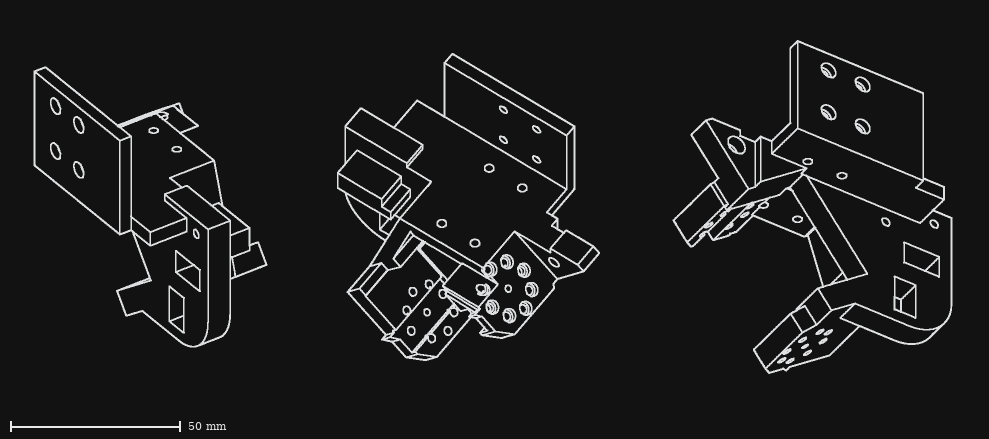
import cadquery as cq
import math

TILT = math.radians(37.5)
COS_TILT = math.cos(TILT)
SIN_TILT = math.sin(TILT)

deck_z = 32.6
shelf_thick = 4.85
shelf_bottom_z = deck_z - shelf_thick

plate_front_y = 17.0
plate_thick = 8.0
plate_back_y = plate_front_y + plate_thick
plate_top_z = 34.75
plate_right_x = 29.6
plate_bottom_z = -13.3
plate_corner_radius = 15.0
deck_left_x = -44.7
deck_right_x = 7.2
opening_width = 36.2
upper_arm_tip_u = -24.9
upper_arm_top_w = 60.8
lower_arm_tip_u = -22.0
arm_pad_back_y = 28.7
thick_left_x = -39.5
thick_front_y = 14.0

flange_left_x = -35.6
flange_width = 44.2
flange_height = 33.45
flange_thick = 4.0
shelf_right_x = 18.5

jaw_tip_u = -26.0
jaw_back_y = 52.0
lower_jaw_top_w = -1.1
lower_jaw_bottom_w = -7.9
lower_jaw_root_u = 5.85
upper_jaw_bottom_w = 37.3
upper_jaw_top_w = 45.2
tip_front_y = 27.8
tip_back_y = 47.8
front_bevel_u = 4.0
back_bevel_u = 5.1
upper_step_y = 50.8
upper_step_z = 28.5
upper_end_u = -12.8
upper_end_left_x = -36.7
upper_end_right_x = -25.9
spur_slope = 1.4
lower_spur_u = -11.7
lower_spur_y = 54.0
upper_spur_y = 53.4

ring_u = -15.35
ring_y = 39.3
ring_radius = 8.0
ring_count = 8
recess_start_u = -19.9
recess_end_u = -11.05
lower_recess_depth = 2.0
upper_web_thick = 3.6
upper_head_depth = 1.8

rear_back_y = 40.9
strut_top_x = -1.6
strut_width_x = 4.97
foot_wall_u = 2.9
foot_notch_w = 0.2
foot_turn = math.radians(1.6)
foot_height = 6.4
foot_ledge = 3.4
lip_height = 0.35

rear_block_back_y = 34.9
rear_block_left_x = 6.0
rear_block_step_x = 9.3
rear_block_right_x = 25.25
rear_block_tall_height = 8.0
rear_block_low_height = 4.0

window_upper = (13.0, 10.3, 12.3, 7.6)
window_lower = (9.6, -9.15, 7.4, 12.5)

screw_column_x = (-24.7, -12.7)
flange_hole_z = (38.9, 54.9)
deck_hole_y = (11.2, 35.2)
deck_hole_depth = 15.0
screw_dia = 2.7
flange_head_dia = 5.0
flange_head_depth = 2.5
pivot_at = (-46.0, 28.5)
pivot_dia = 3.6
pivot_head_dia = 6.0
pivot_head_depth = 4.0
blind_holes = ((23.5, 29.7), (6.5, 22.8))
blind_depth = 6.0
ring_head_dia = 4.1
upper_ring_dia = 2.6
lower_ring_dia = 2.5
ring_center_dia = 2.0


def tilted(u, w):
    """XZ position of a point given in the jaw frame."""
    return (u * COS_TILT - w * SIN_TILT, u * SIN_TILT + w * COS_TILT)


def at_height(w, z):
    """XZ point where the jaw plane w reaches height z."""
    return ((z * COS_TILT - w) / SIN_TILT, z)


def at_x(w, x):
    """XZ point where the jaw plane w reaches position x."""
    return (x, (w + x * SIN_TILT) / COS_TILT)


def prism(points, y_start, y_end):
    """XZ outline extruded along Y."""
    return cq.Workplane("XZ", origin=(0, y_start, 0)).polyline(points).close().extrude(y_start - y_end)


def block(x_start, x_end, y_start, y_end, z_start, z_end):
    size = (x_end - x_start, y_end - y_start, z_end - z_start)
    return cq.Workplane("XY", origin=(x_start, y_start, z_start)).box(*size, centered=False)


def rod_along_y(x, z, dia, y_start, y_end):
    return cq.Workplane("XZ", origin=(x, y_start, z)).circle(dia / 2).extrude(y_start - y_end)


def jaw_plane(w):
    """Workplane with local axes (u, Y) lying at height w across the opening."""
    x, z = tilted(0, w)
    return cq.Workplane(cq.Plane((x, 0, z), (COS_TILT, 0, SIN_TILT), (-SIN_TILT, 0, COS_TILT)))


def jaw_prism(points, w_start, w_end):
    """Outline in (u, Y) extruded across the opening."""
    return jaw_plane(w_start).polyline(points).close().extrude(w_end - w_start)


def jaw_rod(u, y, dia, w_start, w_end):
    return jaw_plane(w_start).center(u, y).circle(dia / 2).extrude(w_end - w_start)


def bevel_tip(jaw, w_start, w_end):
    """Cut both corners off the tip of a jaw."""
    front = [(jaw_tip_u, tip_front_y), (jaw_tip_u + front_bevel_u, plate_back_y), (jaw_tip_u, plate_back_y)]
    back = [(jaw_tip_u, tip_back_y), (jaw_tip_u + back_bevel_u, jaw_back_y), (jaw_tip_u, jaw_back_y)]
    return jaw.cut(jaw_prism(front, w_start, w_end)).cut(jaw_prism(back, w_start, w_end))


def spur(end_u, end_y, w_start, w_end):
    """Triangular point standing out of the back edge of a jaw."""
    start_u = end_u - spur_slope * (end_y - jaw_back_y)
    points = [(start_u, upper_step_y), (start_u, jaw_back_y), (end_u, end_y), (end_u, upper_step_y)]
    return jaw_prism(points, w_start, w_end)


def arm_pad(tip_u, w_start, w_end):
    """Thickening behind a plate arm, from its tip to the corner of the opening."""
    points = [(tip_u, plate_back_y), (0, plate_back_y), (0, arm_pad_back_y), (tip_u, arm_pad_back_y)]
    return jaw_prism(points, w_start, w_end)


def recess(w_start, w_end):
    """Channel across a jaw, under its bolt ring and open at the back."""
    points = [
        (recess_start_u, arm_pad_back_y),
        (recess_end_u, arm_pad_back_y),
        (recess_end_u, lower_spur_y),
        (recess_start_u, lower_spur_y),
    ]
    return jaw_prism(points, w_start, w_end)


def ring_positions():
    for i in range(ring_count):
        angle = 2 * math.pi * i / ring_count
        yield ring_u + ring_radius * math.cos(angle), ring_y + ring_radius * math.sin(angle)


def make_plate():
    arm_bottom = at_height(lower_jaw_bottom_w, plate_bottom_z)
    diagonal = plate_corner_radius * math.sqrt(0.5)
    arc_x = plate_right_x - plate_corner_radius
    arc_z = plate_bottom_z + plate_corner_radius
    outline = (
        cq.Workplane("XZ", origin=(0, plate_front_y, 0))
        .moveTo(*tilted(upper_arm_tip_u, upper_arm_top_w))
        .lineTo(*at_height(upper_arm_top_w, plate_top_z))
        .lineTo(deck_left_x, plate_top_z)
        .lineTo(deck_left_x, deck_z)
        .lineTo(deck_right_x, deck_z)
        .lineTo(deck_right_x, plate_top_z)
        .lineTo(plate_right_x, plate_top_z)
        .lineTo(plate_right_x, arc_z)
        .threePointArc((arc_x + diagonal, arc_z - diagonal), (arc_x, plate_bottom_z))
        .lineTo(*arm_bottom)
        .lineTo(*tilted(lower_arm_tip_u, lower_jaw_bottom_w))
        .lineTo(*tilted(lower_arm_tip_u, 0))
        .lineTo(0, 0)
        .lineTo(*tilted(0, opening_width))
        .lineTo(*tilted(upper_arm_tip_u, opening_width))
        .close()
    )
    return outline.extrude(-plate_thick)


def make_front_thickening():
    points = [
        (thick_left_x, deck_z),
        at_x(opening_width, thick_left_x),
        tilted(0, opening_width),
        (tilted(0, opening_width)[0], deck_z),
    ]
    return prism(points, thick_front_y, plate_front_y)


def make_flange_and_shelf():
    flange_right_x = flange_left_x + flange_width
    flange_top_z = shelf_bottom_z + flange_height
    flange = block(flange_left_x, flange_right_x, 0, flange_thick, shelf_bottom_z, flange_top_z)
    shelf = block(flange_left_x, shelf_right_x, flange_thick, plate_front_y, shelf_bottom_z, deck_z)
    return flange.union(shelf)


def make_lower_jaw():
    bottom_w, top_w = lower_jaw_bottom_w, lower_jaw_top_w
    floor_w = top_w - lower_recess_depth
    profile = [
        tilted(jaw_tip_u, bottom_w),
        tilted(lower_jaw_root_u, bottom_w),
        tilted(lower_jaw_root_u, top_w + lip_height),
        tilted(foot_wall_u, top_w + lip_height),
        tilted(foot_wall_u, top_w),
        tilted(jaw_tip_u, top_w),
    ]
    jaw = bevel_tip(prism(profile, plate_back_y, jaw_back_y), bottom_w, top_w)
    jaw = jaw.union(spur(lower_spur_u, lower_spur_y, bottom_w, floor_w))
    jaw = jaw.cut(recess(floor_w, top_w))
    for u, y in ring_positions():
        jaw = jaw.cut(jaw_rod(u, y, lower_ring_dia, bottom_w, top_w))
    jaw = jaw.cut(jaw_rod(ring_u, ring_y, ring_center_dia, bottom_w, top_w))
    return jaw.union(arm_pad(lower_arm_tip_u, bottom_w, 0))


def make_tip_filler():
    """Fills the front bevel of the upper jaw flush with the end of the plate arm."""
    points = [
        (upper_arm_tip_u, plate_back_y),
        (jaw_tip_u + front_bevel_u, plate_back_y),
        (jaw_tip_u + front_bevel_u, arm_pad_back_y),
        (upper_arm_tip_u, arm_pad_back_y),
    ]
    return jaw_prism(points, upper_jaw_bottom_w, upper_jaw_top_w)


def make_upper_jaw():
    bottom_w, top_w = upper_jaw_bottom_w, upper_jaw_top_w
    floor_w = top_w - upper_web_thick
    tip = [tilted(jaw_tip_u, bottom_w), tilted(jaw_tip_u, top_w)]
    end_left_z = (upper_end_u - upper_end_left_x * COS_TILT) / SIN_TILT
    near = tip + [
        at_height(top_w, deck_z),
        (strut_top_x, deck_z),
        (strut_top_x - strut_width_x, shelf_bottom_z),
        at_height(bottom_w, shelf_bottom_z),
    ]
    middle = tip + [at_height(top_w, upper_step_z), at_height(bottom_w, upper_step_z)]
    outer = tip + [
        tilted(upper_end_u, top_w),
        (upper_end_left_x, end_left_z),
        at_x(bottom_w, upper_end_right_x),
    ]
    jaw = prism(near, plate_back_y, rear_back_y)
    jaw = jaw.union(prism(middle, rear_back_y, upper_step_y))
    jaw = jaw.union(prism(outer, upper_step_y, jaw_back_y))
    jaw = bevel_tip(jaw, bottom_w, top_w)
    jaw = jaw.union(spur(upper_end_u, upper_spur_y, floor_w, top_w))
    jaw = jaw.cut(recess(bottom_w, floor_w))
    for u, y in ring_positions():
        jaw = jaw.cut(jaw_rod(u, y, upper_ring_dia, bottom_w, top_w))
        jaw = jaw.cut(jaw_rod(u, y, ring_head_dia, top_w - upper_head_depth, top_w))
    jaw = jaw.cut(jaw_rod(ring_u, ring_y, ring_center_dia, bottom_w, top_w))
    jaw = jaw.union(arm_pad(upper_arm_tip_u, opening_width, bottom_w))
    return jaw.union(make_tip_filler())


def make_strut():
    """Slanting strut from the rear bracket down to the root of the lower jaw, with its foot."""
    angle = TILT + foot_turn
    wall_x, wall_z = tilted(foot_wall_u, foot_notch_w)
    ledge_x = wall_x - foot_height * math.sin(angle)
    ledge_z = wall_z + foot_height * math.cos(angle)
    points = [
        (strut_top_x - strut_width_x, deck_z),
        (ledge_x + foot_ledge * math.cos(angle), ledge_z + foot_ledge * math.sin(angle)),
        (ledge_x, ledge_z),
        (wall_x, wall_z),
        tilted(foot_wall_u, lower_jaw_bottom_w),
        tilted(lower_jaw_root_u, lower_jaw_bottom_w),
        (strut_top_x, deck_z),
    ]
    return prism(points, plate_back_y, rear_back_y)


def make_rear_blocks():
    bottom_z = window_upper[1] + window_upper[3]
    tall_z = bottom_z + rear_block_tall_height
    low_z = bottom_z + rear_block_low_height
    front_y, back_y = plate_back_y, rear_block_back_y
    tall = block(rear_block_step_x, rear_block_right_x, front_y, back_y, bottom_z, tall_z)
    low = block(rear_block_left_x, rear_block_step_x, front_y, back_y, bottom_z, low_z)
    return tall.union(low)


def cut_windows(body):
    for left, bottom, width, height in (window_upper, window_lower):
        body = body.cut(block(left, left + width, plate_front_y, plate_back_y, bottom, bottom + height))
    return body


def cut_flange_holes(body):
    for x in screw_column_x:
        for z in flange_hole_z:
            body = body.cut(rod_along_y(x, z, screw_dia, 0, flange_thick))
            body = body.cut(rod_along_y(x, z, flange_head_dia, 0, flange_head_depth))
    return body


def cut_deck_holes(body):
    for x in screw_column_x:
        for y in deck_hole_y:
            hole = cq.Workplane("XY", origin=(x, y, deck_z)).circle(screw_dia / 2).extrude(-deck_hole_depth)
            body = body.cut(hole)
    return body


def cut_plate_holes(body):
    head_end_y = plate_front_y + pivot_head_depth
    body = body.cut(rod_along_y(*pivot_at, pivot_dia, plate_front_y, plate_back_y))
    body = body.cut(rod_along_y(*pivot_at, pivot_head_dia, plate_front_y, head_end_y))
    for x, z in blind_holes:
        body = body.cut(rod_along_y(x, z, screw_dia, plate_front_y, plate_front_y + blind_depth))
    return body


result = make_plate()
for part in (
    make_front_thickening(),
    make_flange_and_shelf(),
    make_lower_jaw(),
    make_upper_jaw(),
    make_strut(),
    make_rear_blocks(),
):
    result = result.union(part)
result = cut_windows(result)
result = cut_flange_holes(result)
result = cut_deck_holes(result)
result = cut_plate_holes(result)